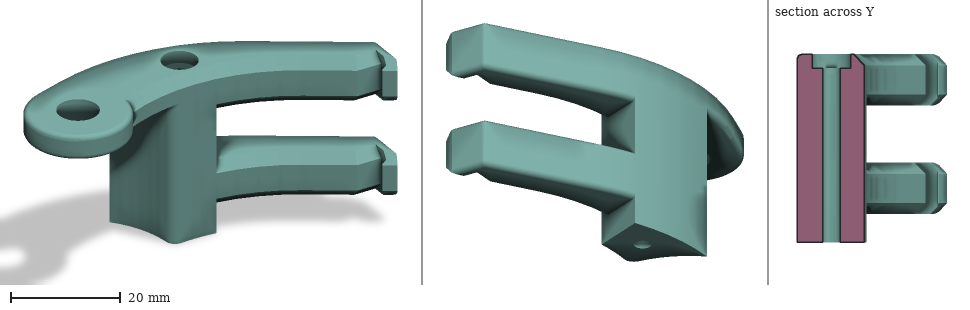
import cadquery as cq
import math


hinge_radius = 10.0
hinge_bore = 8.0
plate_thickness = 5.0

arm_tip_y = 60.0
outer_left_x = -13.4
outer_radius = 44.8
outer_centre = (outer_left_x + outer_radius, 16.0)
inner_left_x = -0.1
inner_radius = 37.1
inner_centre = (inner_left_x + inner_radius, 24.65)
arm_lean = 32.3
inner_root_angle = 210.5

arm_height = 9.4
arm_pitch = 19.8
edge_fillet = 1.0
inner_chamfer = 2.0
post_height = 34.4
post_back_y = 33.75
post_corner_fillet = 2.0
swing_clearance = 20.0

notch_wall_x = 11.05
notch_cut_start_y = 49
notch_top_y = 58.0
barb_start_x = 12.05
barb_root = (13.2, 57.8)
barb_point = (13.3, 56.9)
nose_start_x = 13.2
nose_tip = (15.0, 59.2)

screw_centre = (-6.1, 25.4)
screw_bore = 3.2
screw_head_bore = 7
screw_head_depth = 2.5

cut_margin = 0.7
far_x = outer_centre[0]


def on_circle(centre, radius, angle):
    """Point on a circle at an angle in degrees."""
    turn = math.radians(angle)
    return (centre[0] + radius * math.cos(turn), centre[1] + radius * math.sin(turn))


def along_lean(start, y):
    """Point at the given y on the line that leaves start at the arm's lean."""
    return (start[0] + (y - start[1]) * math.tan(math.radians(arm_lean)), y)


def prism(points, bottom, top):
    return cq.Workplane("XY").workplane(offset=bottom).polyline(points).close().extrude(top - bottom)


centre_distance = math.hypot(*outer_centre)
centre_direction = math.degrees(math.atan2(outer_centre[1], outer_centre[0]))
tangent_offset = math.degrees(math.acos((outer_radius - hinge_radius) / centre_distance))
outer_root_angle = 180 + centre_direction - tangent_offset
lean_angle = 180 - arm_lean

outer_root = on_circle(outer_centre, outer_radius, outer_root_angle)
outer_bend = on_circle(outer_centre, outer_radius, lean_angle)
outer_tip = along_lean(outer_bend, arm_tip_y)
inner_bend = on_circle(inner_centre, inner_radius, lean_angle)
inner_tip = along_lean(inner_bend, arm_tip_y)
inner_root = on_circle(inner_centre, inner_radius, inner_root_angle)


def arm_blank(bottom, top):
    """Square-edged arm from the hinge axis to the tip."""
    outer_mid = on_circle(outer_centre, outer_radius, (outer_root_angle + lean_angle) / 2)
    inner_mid = on_circle(inner_centre, inner_radius, (inner_root_angle + lean_angle) / 2)
    return (
        cq.Workplane("XY").workplane(offset=bottom)
        .lineTo(*on_circle((0, 0), hinge_radius, outer_root_angle))
        .lineTo(*outer_root)
        .threePointArc(outer_mid, outer_bend)
        .lineTo(*outer_tip)
        .lineTo(*inner_tip)
        .lineTo(*inner_bend)
        .threePointArc(inner_mid, inner_root)
        .close()
        .extrude(top - bottom)
    )


def edge_near(body, point, z):
    """The edge of a body whose centre lies closest to a point at height z."""
    return body.edges(cq.NearestToPointSelector((*point, z)))


def midpoint(a, b):
    return ((a[0] + b[0]) / 2, (a[1] + b[1]) / 2)


def arm(top, height, chamfered_levels):
    """Arm with rounded outer edges, and chamfered inner edges at the given levels."""
    bottom = top - height
    body = arm_blank(bottom, top)
    inner_line_mid = midpoint(inner_bend, inner_tip)
    for level in chamfered_levels:
        body = edge_near(body, inner_line_mid, level).chamfer(inner_chamfer)
    body = edge_near(body, outer_tip, (top + bottom) / 2).fillet(edge_fillet)
    outer_line_mid = midpoint(outer_bend, outer_tip)
    for level in (bottom, top):
        body = edge_near(body, outer_line_mid, level).fillet(edge_fillet)
    return body


def behind_post():
    """Everything past the back of the post, which is a radial face of the outer arc."""
    back_angle = 180 - math.degrees(math.asin((post_back_y - outer_centre[1]) / outer_radius))
    outside = on_circle(outer_centre, outer_radius + cut_margin, back_angle)
    beyond_y = arm_tip_y + cut_margin
    points = [outside, outer_centre, (far_x, beyond_y), (outside[0], beyond_y)]
    return prism(points, -post_height, 0)


def post():
    """Post under the arm, hollowed at the front to clear a part turning on the hinge."""
    body = arm_blank(-post_height, -inner_chamfer)
    body = body.cut(cq.Workplane("XY").circle(swing_clearance).extrude(-post_height))
    body = body.cut(behind_post())
    front_inner_corner = (inner_left_x, swing_clearance)
    return edge_near(body, front_inner_corner, -post_height / 2).fillet(post_corner_fillet)


def hinge_disc():
    disc = cq.Workplane("XY").circle(hinge_radius).extrude(-plate_thickness)
    return disc.edges().fillet(edge_fillet)


def hook_notch():
    """Notch behind the tip that leaves a barb, cut through both arms."""
    points = [
        (notch_wall_x, notch_cut_start_y),
        (notch_wall_x, notch_top_y),
        (barb_start_x, notch_top_y),
        barb_root,
        barb_point,
        (far_x, barb_point[1]),
        (far_x, notch_cut_start_y),
    ]
    return prism(points, -post_height, 0)


def notch_wall_chamfer(level, inward):
    """Wedge that chamfers the notch wall of an arm; inward is the Z sense into the arm."""
    return (
        cq.Workplane("XZ", origin=(0, notch_top_y, 0))
        .moveTo(notch_wall_x - inner_chamfer, level)
        .lineTo(notch_wall_x, level)
        .lineTo(notch_wall_x, level + inward * inner_chamfer)
        .close()
        .extrude(notch_top_y - notch_cut_start_y)
    )


def nose_bevel():
    """Slanted cut across the outer side of the hook."""
    slope = (nose_tip[1] - arm_tip_y) / (nose_tip[0] - nose_start_x)
    far_point = (far_x, arm_tip_y + slope * (far_x - nose_start_x))
    return prism([(nose_start_x, arm_tip_y), (far_x, arm_tip_y), far_point], -post_height, 0)


arm_tops = (0, -arm_pitch)

result = arm(0, plate_thickness, (0,)).union(hinge_disc()).union(post())
for top in arm_tops:
    result = result.union(arm(top, arm_height, (top, top - arm_height)).intersect(behind_post()))

result = result.cut(hook_notch()).cut(nose_bevel())
for top in arm_tops:
    result = result.cut(notch_wall_chamfer(top, -1))
    result = result.cut(notch_wall_chamfer(top - arm_height, 1))

result = result.cut(cq.Workplane("XY").circle(hinge_bore / 2).extrude(-plate_thickness))
screw_axis = cq.Workplane("XY").center(*screw_centre)
result = result.cut(screw_axis.circle(screw_bore / 2).extrude(-post_height))
result = result.cut(screw_axis.circle(screw_head_bore / 2).extrude(-screw_head_depth))